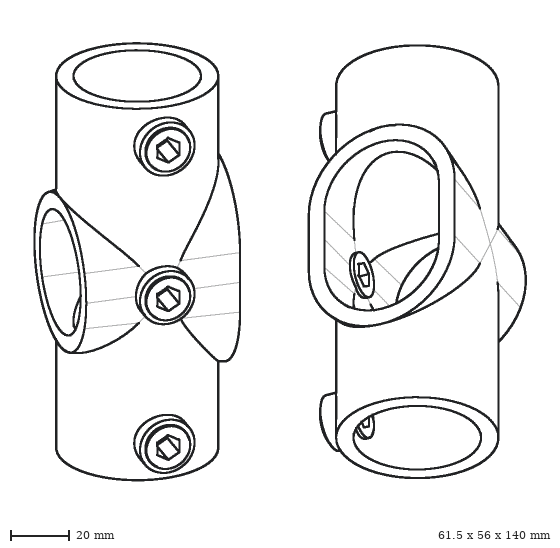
import cadquery as cq
import math

sleeve_length = 140.0
outer_diameter = 56.0
bore_diameter = 44.0
outer_radius = outer_diameter / 2
bore_radius = bore_diameter / 2

cross_length = outer_diameter
flare_rise = 11.2

boss_diameter = 19.9
boss_height = 4.3
screw_diameter = 16.0
screw_length = 13.0
socket_across_flats = 8.0
screw_spacing = 56.0
screw_heights = [-screw_spacing, 0.0, screw_spacing]

boss_end = outer_radius + boss_height
screw_start = math.sqrt(bore_radius**2 - (screw_diameter / 2) ** 2)


def disc_along_x(diameter, start, end, height):
    """Cylinder along X from start to end, centred at the given height."""
    plane = cq.Workplane("YZ", origin=(start, 0, height))
    return plane.circle(diameter / 2).extrude(end - start)


def flared_sleeve(radius):
    """Solid along Y blending from a circle to an upright slot whose flat sides face along X."""
    half_length = cross_length / 2
    near_end = cq.Workplane("XZ", origin=(0, -half_length, 0)).circle(radius)
    slot_height = 2 * (radius + flare_rise)
    far_end = cq.Workplane("XZ", origin=(0, half_length, 0)).slot2D(slot_height, 2 * radius, 90)
    return cq.Workplane(cq.Solid.makeLoft([near_end.val(), far_end.val()], True))


def upright_cylinder(diameter):
    """Full-length cylinder along Z, centred on the origin."""
    return cq.Workplane("XY").circle(diameter / 2).extrude(sleeve_length / 2, both=True)


def make_housing():
    """Crossed sleeves with a bored boss for each set screw."""
    body = upright_cylinder(outer_diameter).union(flared_sleeve(outer_radius))
    for height in screw_heights:
        body = body.union(disc_along_x(boss_diameter, bore_radius, boss_end, height))
    body = body.cut(upright_cylinder(bore_diameter)).cut(flared_sleeve(bore_radius))
    for height in screw_heights:
        body = body.cut(disc_along_x(screw_diameter, 0, boss_end, height))
    return body


def make_screw(height):
    """Set screw along X with a hexagon socket right through it, corners to either side."""
    screw = disc_along_x(screw_diameter, screw_start, screw_start + screw_length, height)
    socket_plane = cq.Workplane("YZ", origin=(screw_start, 0, height))
    socket = socket_plane.polygon(6, socket_across_flats, circumscribed=True).extrude(screw_length)
    return screw.cut(socket)


housing = make_housing()
screws = [make_screw(height) for height in screw_heights]

result = cq.Compound.makeCompound([housing.val(), *[screw.val() for screw in screws]])